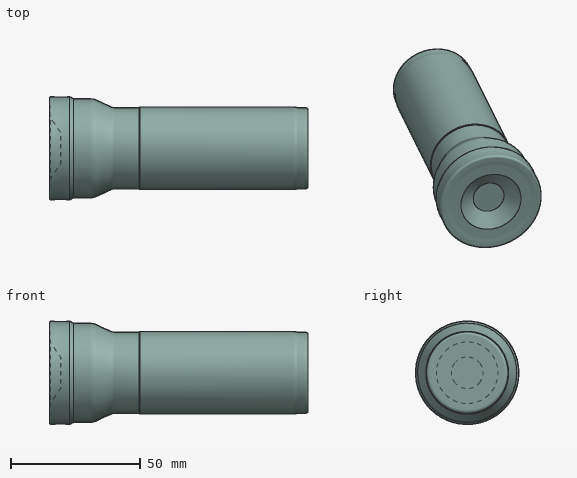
import cadquery as cq
import math

total_length = 100.0

eyecup_radius = 20.0
eyecup_back = 9.4
band_end = 7.9
band_waist = 0.2
rim_fillet = 0.8
dish_outer_radius = 17.6
dish_outer_depth = 0.06
dish_inner_radius = 16.1
dish_inner_depth = 0.25
bowl_rim_radius = 11.9
bowl_rim_depth = 0.4
bowl_floor_radius = 6.4
bowl_floor_depth = 4.1
seat_radius = 6.1
seat_depth = 4.4
window_radius = 5.7
window_depth = 4.5

shoulder_radius = 38.3 / 2
shoulder_end = 16.0
shoulder_blend = 5.0
neck_radius = 31.5 / 2
neck_start = 25.1
neck_blend = 3.0
cone_angle = math.radians(25)
sleeve_radius = 32.0 / 2
sleeve_bevel_start = 34.6
sleeve_start = 35.0
sleeve_end = 94.6
tail_start = 95.8
tail_fillet = 1.2


def revolve_about_x(profile):
    """Turn a closed (X, radius) profile into a round solid about the X axis."""
    return profile.close().revolve(360, (0, 0, 0), (1, 0, 0))


def blend_point(center_x, center_radius, arc_radius, angle):
    """Point of a profile arc at an angle measured from the outward radial direction."""
    return (
        center_x + arc_radius * math.sin(angle),
        center_radius + arc_radius * math.cos(angle),
    )


def make_eyecup():
    profile = (
        cq.Workplane("XY")
        .moveTo(window_depth, 0)
        .lineTo(window_depth, window_radius)
        .lineTo(seat_depth, seat_radius)
        .lineTo(bowl_floor_depth, bowl_floor_radius)
        .lineTo(bowl_rim_depth, bowl_rim_radius)
        .lineTo(dish_inner_depth, dish_inner_radius)
        .lineTo(dish_outer_depth, dish_outer_radius)
        .lineTo(0, eyecup_radius - rim_fillet)
        .threePointArc(
            blend_point(rim_fillet, eyecup_radius - rim_fillet, rim_fillet, -math.pi / 4),
            (rim_fillet, eyecup_radius),
        )
        .threePointArc(
            ((rim_fillet + band_end) / 2, eyecup_radius - band_waist),
            (band_end, eyecup_radius),
        )
        .lineTo(eyecup_back, shoulder_radius)
        .lineTo(eyecup_back, 0)
    )
    return revolve_about_x(profile)


def make_barrel():
    convex_center = (shoulder_end, shoulder_radius - shoulder_blend)
    concave_center = (neck_start, neck_radius + neck_blend)
    profile = (
        cq.Workplane("XY")
        .moveTo(eyecup_back, 0)
        .lineTo(eyecup_back, shoulder_radius)
        .lineTo(shoulder_end, shoulder_radius)
        .threePointArc(
            blend_point(*convex_center, shoulder_blend, cone_angle / 2),
            blend_point(*convex_center, shoulder_blend, cone_angle),
        )
        .lineTo(*blend_point(*concave_center, -neck_blend, cone_angle))
        .threePointArc(
            blend_point(*concave_center, -neck_blend, cone_angle / 2),
            (neck_start, neck_radius),
        )
        .lineTo(sleeve_bevel_start, neck_radius)
        .lineTo(sleeve_start, sleeve_radius)
        .lineTo(sleeve_end, sleeve_radius)
        .lineTo(tail_start, neck_radius)
        .lineTo(total_length - tail_fillet, neck_radius)
        .threePointArc(
            blend_point(total_length - tail_fillet, neck_radius - tail_fillet, tail_fillet, math.pi / 4),
            (total_length, neck_radius - tail_fillet),
        )
        .lineTo(total_length, 0)
    )
    return revolve_about_x(profile)


eyecup = make_eyecup()
barrel = make_barrel()

result = cq.Compound.makeCompound([eyecup.val(), barrel.val()])